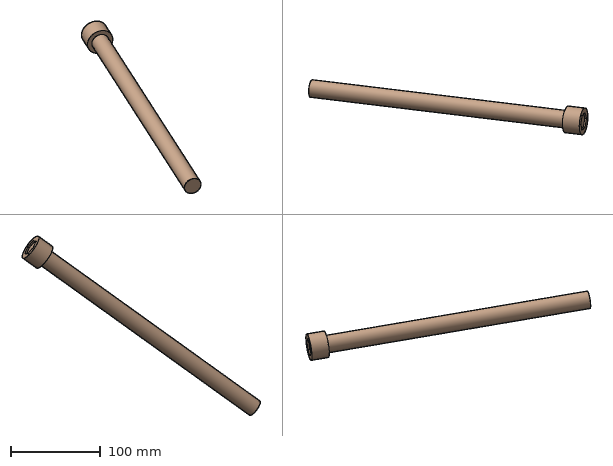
import cadquery as cq
import math

total_length = 320.0
shank_diameter = 20.0
head_diameter = 30.0
head_height = shank_diameter
socket_across_flats = 17.0
socket_depth = 2.0
tip_chamfer = 0.2

head = cq.Workplane("YZ").circle(head_diameter / 2).extrude(head_height)

shank = (
    cq.Workplane("YZ")
    .circle(shank_diameter / 2)
    .extrude(total_length)
    .faces(">X")
    .chamfer(tip_chamfer)
)

socket_across_corners = socket_across_flats / math.cos(math.radians(30))
socket = cq.Workplane("YZ").polygon(6, socket_across_corners).extrude(socket_depth)

result = head.union(shank).cut(socket)